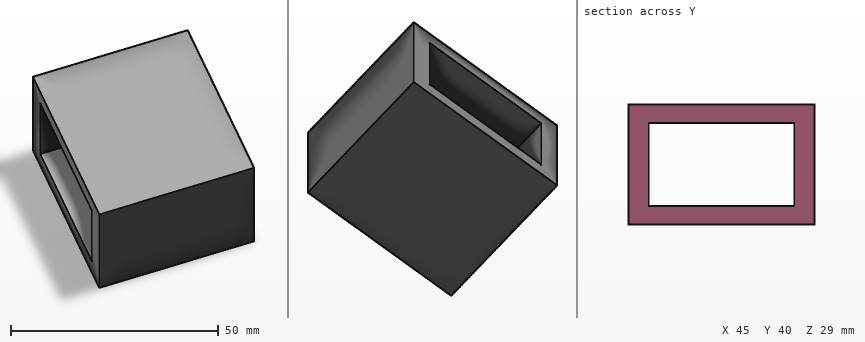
import cadquery as cq

width = 45.0
depth = 40.0
height = 29.0

side_wall = 5.0
top_bottom_wall = 4.5

opening_width = width - 2 * side_wall
opening_height = height - 2 * top_bottom_wall

block = cq.Workplane("XY").box(width, depth, height)

opening = cq.Workplane("XY").box(opening_width, depth, opening_height)

result = block.cut(opening)